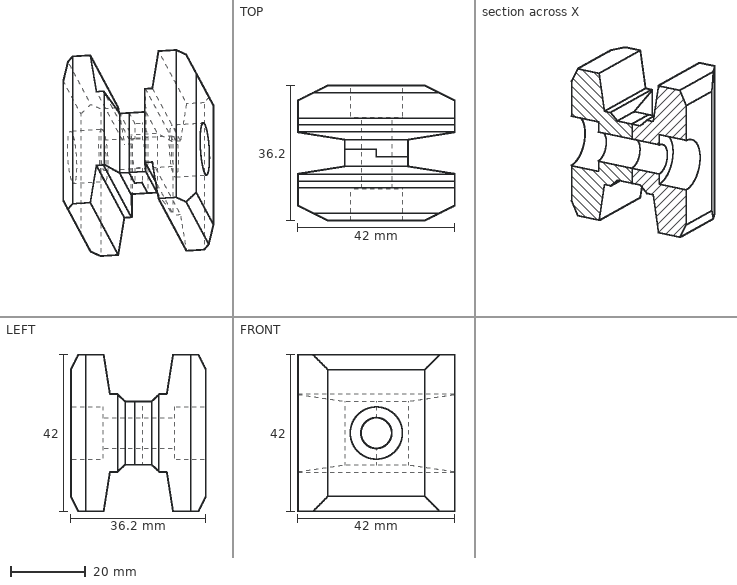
import cadquery as cq
import math

width = 42.0
height = 42.0
total_depth = 36.2
jaw_depth = total_depth / 2

side_chamfer_across = 8.0
side_chamfer_deep = 4.0
end_chamfer_across = 4.0
end_chamfer_deep = 2.0

draft_angle = 9.0
plate_root_thickness = 10.5
rail_height = 21.0
rail_depth = 1.9
taper_depth = 2.15
neck_size = 17.0

step_offset = 1.0

bolt_hole_diameter = 8.2
counterbore_diameter = 14.0
counterbore_depth = 8.5

draft_slope = math.tan(math.radians(draft_angle))
draft_rise = (height - rail_height) / 2 * draft_slope
side_draft_rise = (width - neck_size) / 2 * draft_slope
outer_y = -jaw_depth
rail_root_y = outer_y + plate_root_thickness
plate_edge_y = rail_root_y - draft_rise
rail_top_y = rail_root_y + rail_depth
neck_root_y = rail_top_y + taper_depth


def end_profile_prism():
    """Side profile of plate, rail and rail taper in YZ, extruded across the full width."""
    half_height = height / 2
    half_rail = rail_height / 2
    profile = [
        (outer_y, half_height - end_chamfer_across),
        (outer_y + end_chamfer_deep, half_height),
        (plate_edge_y, half_height),
        (rail_root_y, half_rail),
        (rail_top_y, half_rail),
        (neck_root_y, neck_size / 2),
    ]
    mirrored = [(y, -z) for y, z in reversed(profile)]
    return cq.Workplane("YZ").polyline(profile + mirrored).close().extrude(width / 2, both=True)


def side_profile_prism():
    """Plan outline in XY with bevelled outer corners and drafted inner corners."""
    half_width = width / 2
    profile = [
        (half_width - side_chamfer_across, outer_y),
        (half_width, outer_y + side_chamfer_deep),
        (half_width, neck_root_y - side_draft_rise),
        (neck_size / 2, neck_root_y),
    ]
    mirrored = [(-x, y) for x, y in reversed(profile)]
    return cq.Workplane("XY").polyline(profile + mirrored).close().extrude(height / 2, both=True)


def stepped_neck():
    """Square neck ending in a step: long on the -X half, short on the +X half."""
    half_neck = neck_size / 2
    return (
        cq.Workplane("XY")
        .moveTo(-half_neck, neck_root_y)
        .lineTo(half_neck, neck_root_y)
        .lineTo(half_neck, -step_offset)
        .lineTo(0, -step_offset)
        .lineTo(0, step_offset)
        .lineTo(-half_neck, step_offset)
        .close()
        .extrude(half_neck, both=True)
    )


def bolt_hole():
    """Counterbored hole along Y, entered from the outer face."""
    entry = cq.Workplane("XZ", origin=(0, outer_y, 0))
    shank = entry.circle(bolt_hole_diameter / 2).extrude(-total_depth)
    head = entry.circle(counterbore_diameter / 2).extrude(-counterbore_depth)
    return shank.union(head)


def clamp_jaw():
    """Complete -Y jaw: plate, rail, neck and bolt hole."""
    body = end_profile_prism().intersect(side_profile_prism())
    return body.union(stepped_neck()).cut(bolt_hole())


jaws = []
for turn in (0, 180):
    jaw = clamp_jaw().rotate((0, 0, 0), (0, 0, 1), turn)
    jaws.append(jaw.val())

result = cq.Compound.makeCompound(jaws)